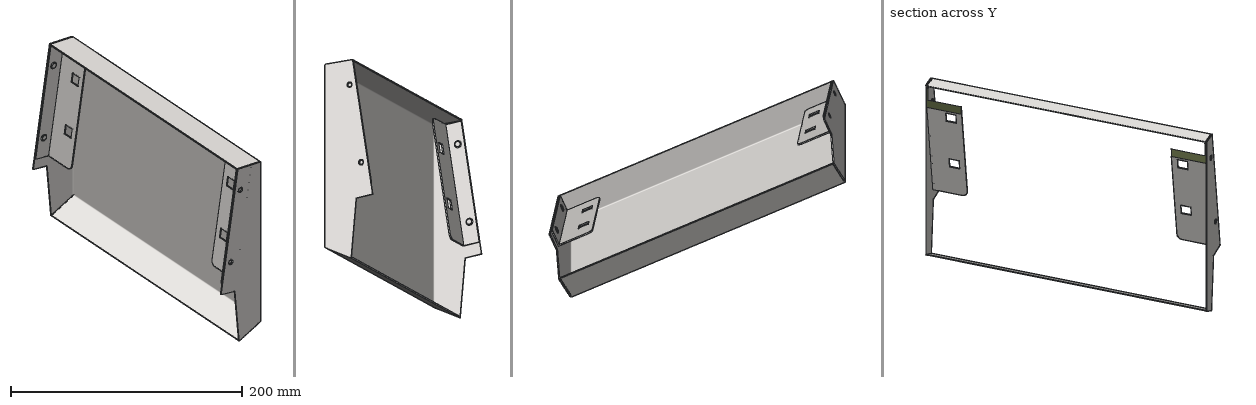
import cadquery as cq
import math

WIDTH = 262.0
DEPTH = 45.0
HEIGHT = 175.5
SHEET = 1.2
BEND_INNER_RADIUS = 1.2
BEND_OUTER_RADIUS = BEND_INNER_RADIUS + SHEET
CORNER_SLIT = 0.3

TOP_WALL_DEPTH = 26.5
TOP_WALL_ANGLE = 5.0
NOTCH_Y = 29.9
NOTCH_HEIGHT = 123.0
SIDE_TIP_HEIGHT = 120.5
BOTTOM_WALL_DEPTH = 25.2
FLOOR_BOTTOM = 11.5

BRACKET_START = 1.5
BRACKET_LENGTH = 109.8
BRACKET_DEPTH = 15.5
BRACKET_WIDTH = 32.2
PLATE_CORNER_RADIUS = 5.0
WINDOW_WIDTH = 9.5
WINDOW_LENGTH = 9.0
WINDOW_INSET = 22.0
WINDOW_STATIONS = (26.0, 76.2)

DIMPLE_STATIONS = (20.0, 90.0)
DIMPLE_SETBACK = 6.0
DIMPLE_RISE = 0.8
DIMPLE_TAPER = 45.0
WALL_RECESS_DIAMETER = 4.7
BRACKET_RECESS_DIAMETER = 5.5
BRACKET_BUMP_DIAMETER = 6.3

INNER_WIDTH = WIDTH - 2 * SHEET
BACK_Y = DEPTH / 2
BEND_Y = BACK_Y - BEND_OUTER_RADIUS
TOP_Z = HEIGHT / 2
TOP_FRONT = (BACK_Y - TOP_WALL_DEPTH, TOP_Z)
SIDE_TIP = (-DEPTH / 2, TOP_Z - SIDE_TIP_HEIGHT)
TOP_SLOPE = -math.tan(math.radians(TOP_WALL_ANGLE))
BOTTOM_SLOPE = FLOOR_BOTTOM / BOTTOM_WALL_DEPTH
FLOOR_TOP_Z = TOP_Z + TOP_SLOPE * TOP_WALL_DEPTH
FLOOR_BOTTOM_Z = -TOP_Z + FLOOR_BOTTOM
BOTTOM_FRONT = (BACK_Y - BOTTOM_WALL_DEPTH, -TOP_Z)
NOTCH_CORNER = (BACK_Y - NOTCH_Y, TOP_Z - NOTCH_HEIGHT)
FRONT_EDGE_TILT = math.degrees(math.atan2(TOP_FRONT[0] - SIDE_TIP[0], SIDE_TIP_HEIGHT))
BRACKET_OUTER_X = -WIDTH / 2 + SHEET


def side_prism(points, length):
    """Extrude a (Y, Z) outline along X, centred on X = 0."""
    return cq.Workplane("YZ").polyline(points).close().extrude(length / 2, both=True)


def front_edge_frame(x):
    """Frame at the bracket's top end: local X runs down the front edge, local Y goes behind it."""
    tilt = math.radians(FRONT_EDGE_TILT)
    down = cq.Vector(0, -math.sin(tilt), -math.cos(tilt))
    top = cq.Vector(x, *TOP_FRONT)
    return cq.Plane(origin=top + down * BRACKET_START, xDir=down, normal=(1, 0, 0))


def dimple_cones(x, base_diameter):
    """Cones at the left dimple centres, narrowing from the given X towards +X."""
    return (
        cq.Workplane(front_edge_frame(x))
        .pushPoints([(station, DIMPLE_SETBACK) for station in DIMPLE_STATIONS])
        .circle(base_diameter / 2)
        .extrude(DIMPLE_RISE, taper=DIMPLE_TAPER)
    )


def tray_wall(tip, slope, inward):
    """Top or bottom wall from its bend to its tip, its front edge square to the sheet.

    The slope is dZ/dY, and inward is the sign of Z towards the inside of the tray.
    """
    tip_y, tip_z = tip
    angle = math.atan(slope)
    offset_y = -inward * SHEET * math.sin(angle)
    offset_z = inward * SHEET * math.cos(angle)
    inner_rise = inward * SHEET / math.cos(angle)
    bend_z = tip_z + slope * (BEND_Y - tip_y)
    points = [
        (BEND_Y, bend_z),
        (tip_y, tip_z),
        (tip_y + offset_y, tip_z + offset_z),
        (BEND_Y, bend_z + inner_rise),
    ]
    return side_prism(points, INNER_WIDTH - 2 * CORNER_SLIT)


def make_tray():
    outer = side_prism(
        [
            (BACK_Y, FLOOR_TOP_Z),
            TOP_FRONT,
            SIDE_TIP,
            NOTCH_CORNER,
            BOTTOM_FRONT,
            (BACK_Y, FLOOR_BOTTOM_Z),
        ],
        WIDTH,
    )
    outer = outer.faces(">Y").edges().fillet(BEND_OUTER_RADIUS)

    floor_y = BACK_Y - SHEET
    top_rise = SHEET * math.hypot(1, TOP_SLOPE)
    bottom_rise = SHEET * math.hypot(1, BOTTOM_SLOPE)
    cavity = side_prism(
        [
            (floor_y, FLOOR_TOP_Z - TOP_SLOPE * SHEET - top_rise),
            (-DEPTH, FLOOR_TOP_Z - TOP_SLOPE * (BACK_Y + DEPTH) - top_rise),
            (-DEPTH, FLOOR_BOTTOM_Z - BOTTOM_SLOPE * (BACK_Y + DEPTH) + bottom_rise),
            (floor_y, FLOOR_BOTTOM_Z - BOTTOM_SLOPE * SHEET + bottom_rise),
        ],
        INNER_WIDTH,
    )
    cavity = cavity.faces(">Y").edges().fillet(BEND_INNER_RADIUS)

    between_sides = cq.Workplane("XY").box(INNER_WIDTH, DEPTH, 2 * HEIGHT)
    between_sides = between_sides.translate((0, BEND_Y - DEPTH / 2, 0))
    tray = (
        outer.cut(cavity)
        .cut(between_sides)
        .union(tray_wall(TOP_FRONT, TOP_SLOPE, -1))
        .union(tray_wall(BOTTOM_FRONT, BOTTOM_SLOPE, 1))
    )

    bumps = dimple_cones(BRACKET_OUTER_X, BRACKET_RECESS_DIAMETER)
    recesses = dimple_cones(-WIDTH / 2, WALL_RECESS_DIAMETER)
    tray = tray.union(bumps).union(bumps.mirror("YZ"))
    return tray.cut(recesses).cut(recesses.mirror("YZ"))


def make_left_bracket():
    frame = front_edge_frame(BRACKET_OUTER_X)
    leg = cq.Workplane(frame).rect(BRACKET_LENGTH, BRACKET_DEPTH, centered=False).extrude(SHEET)

    plate = (
        cq.Workplane(frame)
        .center(0, BRACKET_DEPTH - SHEET)
        .rect(BRACKET_LENGTH, SHEET, centered=False)
        .extrude(BRACKET_WIDTH)
        .faces(">X")
        .edges(cq.selectors.LengthNthSelector(0))
        .fillet(PLATE_CORNER_RADIUS)
    )
    windows = (
        cq.Workplane(frame)
        .workplane(offset=WINDOW_INSET - WINDOW_WIDTH / 2)
        .pushPoints([(station, BRACKET_DEPTH) for station in WINDOW_STATIONS])
        .rect(WINDOW_LENGTH, 4 * SHEET)
        .extrude(WINDOW_WIDTH)
    )
    bumps = dimple_cones(BRACKET_OUTER_X + SHEET, BRACKET_BUMP_DIAMETER)
    recesses = dimple_cones(BRACKET_OUTER_X, BRACKET_RECESS_DIAMETER)
    return leg.union(plate).cut(windows).union(bumps).cut(recesses)


tray = make_tray()
left_bracket = make_left_bracket()
right_bracket = left_bracket.mirror("YZ")

result = cq.Compound.makeCompound([tray.val(), left_bracket.val(), right_bracket.val()])